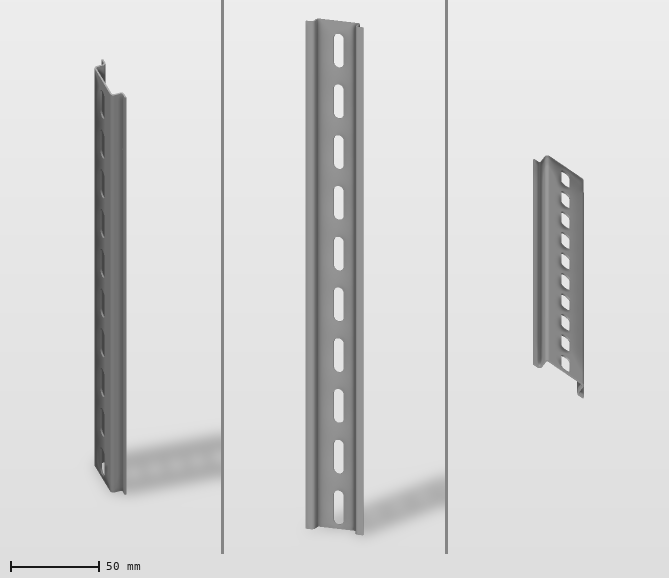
import cadquery as cq

length = 300.0
width = 35.0
depth = 7.5
sheet = 1.0

channel_width = 27.0
inner_bend = 1.0
outer_bend = inner_bend + sheet

slot_count = 10
slot_pitch = length / slot_count
slot_length = 20.0
slot_width = 6.3
first_slot_z = 12.5

front_y = -depth / 2
back_y = depth / 2


def box_between(x_min, x_max, y_min, y_max):
    """Full-length bar covering the given X and Y ranges."""
    return (
        cq.Workplane("XY")
        .box(x_max - x_min, y_max - y_min, length, centered=False)
        .translate((x_min, y_min, 0))
    )


def make_rail():
    """Bent sheet: web in front, two walls and two outward flanges behind."""
    wall_outer = channel_width / 2
    wall_inner = wall_outer - sheet
    rail = box_between(-wall_outer, wall_outer, front_y, front_y + sheet)
    for side in (-1, 1):
        wall_near, wall_far = sorted((side * wall_inner, side * wall_outer))
        flange_near, flange_far = sorted((side * wall_inner, side * width / 2))
        rail = rail.union(box_between(wall_near, wall_far, front_y, back_y))
        rail = rail.union(box_between(flange_near, flange_far, back_y - sheet, back_y))

    def round_bends(body, corners, radius):
        for x, y in corners:
            for side in (-1, 1):
                edge = cq.selectors.NearestToPointSelector((side * x, y, length / 2))
                body = body.edges("|Z").edges(edge).fillet(radius)
        return body

    outside_corners = [(wall_outer, front_y), (wall_inner, back_y)]
    inside_corners = [(wall_inner, front_y + sheet), (wall_outer, back_y - sheet)]
    rail = round_bends(rail, inside_corners, inner_bend)
    return round_bends(rail, outside_corners, outer_bend)


def make_slots():
    """Vertical round-ended slots through the web."""
    centers = [(0, first_slot_z + i * slot_pitch) for i in range(slot_count)]
    return (
        cq.Workplane("XZ", origin=(0, back_y, 0))
        .pushPoints(centers)
        .slot2D(slot_length, slot_width, angle=90)
        .extrude(depth)
    )


result = make_rail().cut(make_slots())